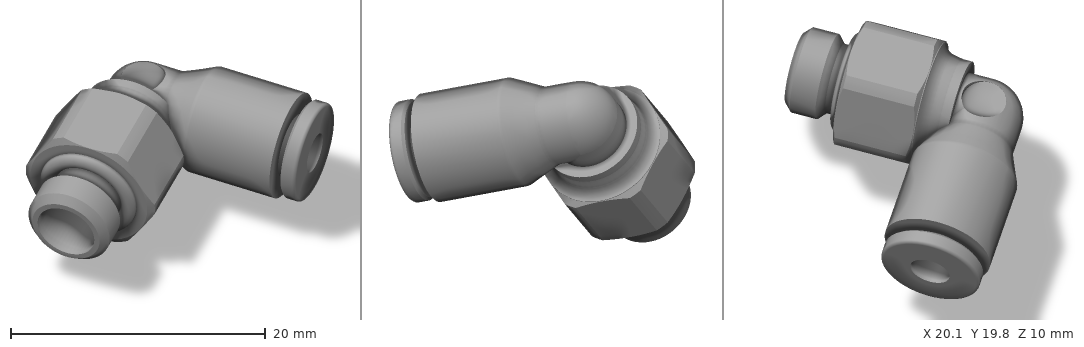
import cadquery as cq
import math


elbow_radius = 3.1
passage_radius = 1.6
pad_radius = 1.75
pad_height = 2.54

socket_root = 2.21
elbow_arm_end = 2.3
flare_start = 2.6
flare_start_radius = 3.15
flare_end = 5.1
flare_end_radius = 4.27
sleeve_start = 5.4
sleeve_end = 12.6
sleeve_radius = 4.33
socket_neck_radius = 2.6
release_ring_start = 13.32
release_ring_end = 14.63
release_ring_radius = 4.05
release_ring_chamfer = 0.22
release_ring_round = 0.25

nut_sides = 6
across_flats = 10.0
nut_corner_radius = 5.5
nut_end = 10.88
chamfer_angle = 30
chamfer_rise = 0.3
nut_start = 4.47
collar_start = 2.0
collar_radius = 4.0
taper_start = 2.78
taper_end = 3.56
taper_end_radius = 4.15
collar_bend_mid = 4.12
collar_bend_mid_radius = 4.43
collar_foot = 4.4

seal_section_radius = 0.65
seal_center_radius = 3.45
stem_neck_radius = 2.82
thread_start = 12.17
thread_radius = 3.46
thread_chamfer = 0.6
stem_end = 15.47
stem_bore_radius = 2.41
stem_bore_depth = 4.02


def cylinder_along_x(radius, length):
    return cq.Workplane("YZ").circle(radius).extrude(length)


def cylinder_along_minus_y(radius, start, end):
    return cq.Workplane("XZ", origin=(0, -start, 0)).circle(radius).extrude(end - start)


def bend(radius, arm_x, arm_y):
    """Two round arms meeting at a right angle, with a quarter ball on the outer corner."""
    arms = cylinder_along_x(radius, arm_x).union(cylinder_along_minus_y(radius, 0, arm_y))
    corner = (
        cq.Workplane("XY")
        .sphere(radius, angle3=90)
        .rotate((0, 0, 0), (0, 0, 1), 90)
    )
    return arms.union(corner)


def make_elbow():
    """Solid bend with a flat round pad sunk into its top."""
    elbow = bend(elbow_radius, socket_root, nut_end)
    pad_recess = cq.Workplane("XY", origin=(0, 0, pad_height)).circle(pad_radius).extrude(elbow_radius)
    return elbow.cut(pad_recess)


def make_socket():
    """Flared sleeve with a release ring at its mouth, overlapping the end of the elbow arm."""
    profile = (
        cq.Workplane("XY")
        .moveTo(socket_root, 0)
        .lineTo(socket_root, elbow_radius)
        .lineTo(elbow_arm_end, elbow_radius)
        .tangentArcPoint((flare_start, flare_start_radius), relative=False)
        .lineTo(flare_end, flare_end_radius)
        .tangentArcPoint((sleeve_start, sleeve_radius), relative=False)
        .lineTo(sleeve_end, sleeve_radius)
        .lineTo(sleeve_end, socket_neck_radius)
        .lineTo(release_ring_start, socket_neck_radius)
        .lineTo(release_ring_start, release_ring_radius - release_ring_chamfer)
        .lineTo(release_ring_start + release_ring_chamfer, release_ring_radius)
        .lineTo(release_ring_end - release_ring_round, release_ring_radius)
        .radiusArc((release_ring_end, release_ring_radius - release_ring_round), release_ring_round)
        .lineTo(release_ring_end, 0)
        .close()
    )
    return profile.revolve(360, (0, 0, 0), (1, 0, 0))


def make_nut():
    """Hexagon trimmed by a turned profile that rounds its corners and chamfers both ends.

    The same profile carries the collar behind the nut.
    """
    chamfer_radius = nut_corner_radius - chamfer_rise / math.tan(math.radians(chamfer_angle))
    hexagon = (
        cq.Workplane("XZ")
        .polygon(nut_sides, across_flats, circumscribed=True)
        .extrude(nut_end)
        .rotate((0, 0, 0), (0, 1, 0), 180 / nut_sides)
    )
    turned = (
        cq.Workplane("XY")
        .moveTo(0, -collar_start)
        .lineTo(collar_radius, -collar_start)
        .lineTo(collar_radius, -taper_start)
        .lineTo(taper_end_radius, -taper_end)
        .threePointArc(
            (collar_bend_mid_radius, -collar_bend_mid),
            (chamfer_radius, -collar_foot),
        )
        .lineTo(chamfer_radius, -nut_start)
        .lineTo(nut_corner_radius, -nut_start - chamfer_rise)
        .lineTo(nut_corner_radius, chamfer_rise - nut_end)
        .lineTo(chamfer_radius, -nut_end)
        .lineTo(0, -nut_end)
        .close()
        .revolve(360, (0, 0, 0), (0, 1, 0))
    )
    return hexagon.intersect(turned)


def make_stem():
    """Seal ring, relief neck and threaded end below the nut, without the bores."""
    neck_offset = seal_center_radius - stem_neck_radius
    neck_contact_depth = math.sqrt(seal_section_radius**2 - neck_offset**2)
    profile = (
        cq.Workplane("XY")
        .moveTo(0, -nut_end)
        .lineTo(seal_center_radius + seal_section_radius, -nut_end)
        .threePointArc(
            (seal_center_radius, -nut_end - seal_section_radius),
            (stem_neck_radius, -nut_end - neck_contact_depth),
        )
        .lineTo(stem_neck_radius, -thread_start)
        .lineTo(thread_radius, -thread_start - thread_chamfer)
        .lineTo(thread_radius, thread_chamfer - stem_end)
        .lineTo(thread_radius - thread_chamfer, -stem_end)
        .lineTo(0, -stem_end)
        .close()
    )
    return profile.revolve(360, (0, 0, 0), (0, 1, 0))


body = make_elbow().union(make_socket()).union(make_nut()).union(make_stem())
passage = bend(passage_radius, release_ring_end, stem_end)
stem_bore = cylinder_along_minus_y(stem_bore_radius, stem_end - stem_bore_depth, stem_end)
result = body.cut(passage).cut(stem_bore)